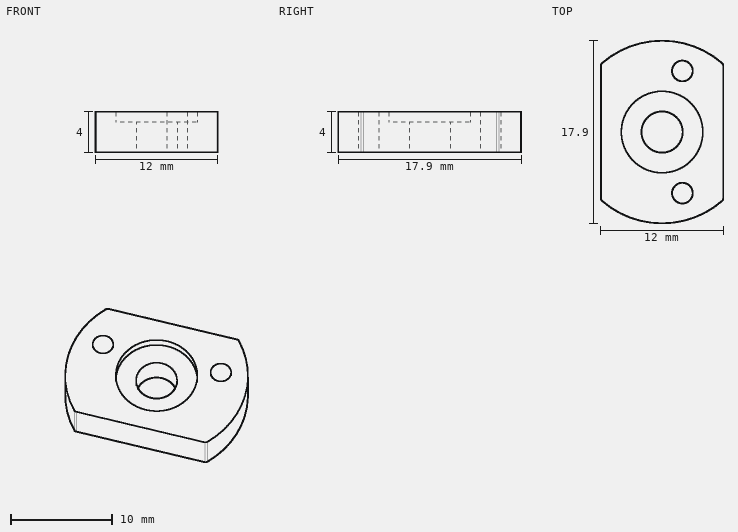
import cadquery as cq

length = 17.94
width = 12.0
thickness = 4.0
corner_radius = 0.3

bore_diameter = 4.02
counterbore_diameter = 8.0
counterbore_depth = 1.0

mount_hole_diameter = 2.01
mount_hole_x = 2.0
mount_hole_y = 6.0


def flatted_body():
    """Round disc cut by two parallel flats, with softened vertical corners."""
    disc = cq.Workplane("XY").circle(length / 2).extrude(thickness)
    flats = cq.Workplane("XY").rect(width, length).extrude(thickness)
    return disc.intersect(flats).edges("|Z and (>X or <X)").fillet(corner_radius)


def add_holes(body):
    """Counterbored central bore and two offset mounting holes, all through."""
    top = body.faces(">Z").workplane(origin=(0, 0, thickness))
    bored = top.cboreHole(bore_diameter, counterbore_diameter, counterbore_depth)
    hole_centers = [(mount_hole_x, side * mount_hole_y) for side in (-1, 1)]
    return (
        bored.faces(">Z")
        .workplane(origin=(0, 0, thickness))
        .pushPoints(hole_centers)
        .hole(mount_hole_diameter)
    )


result = add_holes(flatted_body())